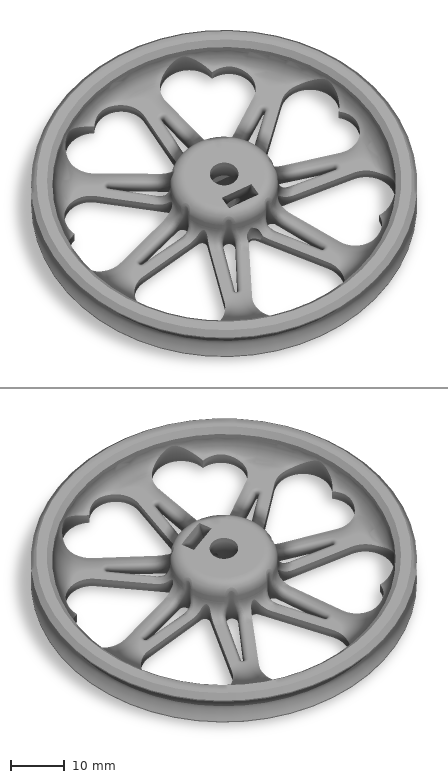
import cadquery as cq
import math

rim_radius = 36.0
rim_height = 8.0
rim_chamfer = 1.0
rim_inner_diameter = 64.0
rim_inner_radius = rim_inner_diameter / 2
groove_radius = 34.0
groove_floor_width = 1.4
groove_depth = rim_radius - groove_radius

web_bottom_z = rim_chamfer
web_thickness = 2.0
web_top_z = web_bottom_z + web_thickness
web_fillet = 3.0
hub_radius = 10.0
hub_top_z = 10.0
hub_top_fillet = 2.5

spoke_count = 7
spoke_pitch = 360.0 / spoke_count

heart_tip = (11.15, -0.1, 1.0)
heart_large_lobe = (26.1, 4.5, 5.5)
heart_small_lobe = (25.1, -2.8, 5.0)

slot_inner_end = (9.65, 4.75, 1.15)
slot_outer_end = (19.3, 9.9, 0.2)
slot_edge_fillet = 1.0
slot_axis_angle = math.degrees(
    math.atan2(slot_outer_end[1] - slot_inner_end[1], slot_outer_end[0] - slot_inner_end[0])
)

bore_diameter = 5.3
bore_floor_z = web_top_z
bore_flat_offset = 1.65
bore_flat_top_z = web_top_z + web_fillet

nut_slot_tilt = 14.0
nut_slot_thickness = 2.7
nut_slot_width = 6.4
nut_slot_depth = 8.8
nut_slot_bevel = 1.9
nut_slot_outer_x = 7.35
screw_diameter = 3.2
screw_depth = nut_slot_depth - nut_slot_width / 2
screw_inner_reach = 4.3
screw_outer_reach = 7.2


def tangent_points(first, second, side):
    """Ends of the outer tangent of two circles; side is +1 left, -1 right of first-to-second."""
    dx = second[0] - first[0]
    dy = second[1] - first[1]
    spread = math.acos((first[2] - second[2]) / math.hypot(dx, dy))
    normal = math.atan2(dy, dx) + side * spread
    return [(x + r * math.cos(normal), y + r * math.sin(normal)) for x, y, r in (first, second)]


def point_on_circle(circle, angle):
    """Point of a circle (x, y, radius) at an angle in degrees."""
    x, y, r = circle
    return (x + r * math.cos(math.radians(angle)), y + r * math.sin(math.radians(angle)))


def outer_crossing(first, second):
    """Crossing of two circles that lies to the right of first-to-second."""
    dx = second[0] - first[0]
    dy = second[1] - first[1]
    gap = math.hypot(dx, dy)
    along = (gap**2 + first[2]**2 - second[2]**2) / (2 * gap)
    across = math.sqrt(first[2]**2 - along**2)
    return (first[0] + (along * dx + across * dy) / gap, first[1] + (along * dy - across * dx) / gap)


def around_axis(body):
    """Copies of a body at every spoke pitch about the Z axis."""
    copies = cq.Workplane("XY")
    for i in range(spoke_count):
        copies = copies.add(body.rotate((0, 0, 0), (0, 0, 1), i * spoke_pitch))
    return copies


def wheel_blank():
    """Hub, web and grooved rim turned in one revolve."""
    middle_z = rim_height / 2
    floor_half = groove_floor_width / 2
    lip_half = floor_half + groove_depth
    diagonal = math.sqrt(0.5)
    top_arc = (hub_radius - hub_top_fillet, hub_top_z - hub_top_fillet)
    hub_arc = (hub_radius + web_fillet, web_top_z + web_fillet)
    rim_arc = (rim_inner_radius - web_fillet, web_top_z + web_fillet)
    profile = (
        cq.Workplane("XZ")
        .moveTo(0, web_bottom_z)
        .lineTo(rim_inner_radius, web_bottom_z)
        .lineTo(rim_inner_radius + rim_chamfer, 0)
        .lineTo(rim_radius - rim_chamfer, 0)
        .lineTo(rim_radius, rim_chamfer)
        .lineTo(rim_radius, middle_z - lip_half)
        .lineTo(groove_radius, middle_z - floor_half)
        .lineTo(groove_radius, middle_z + floor_half)
        .lineTo(rim_radius, middle_z + lip_half)
        .lineTo(rim_radius, rim_height - rim_chamfer)
        .lineTo(rim_radius - rim_chamfer, rim_height)
        .lineTo(rim_inner_radius + rim_chamfer, rim_height)
        .lineTo(rim_inner_radius, rim_height - rim_chamfer)
        .lineTo(rim_inner_radius, rim_arc[1])
        .threePointArc(
            (rim_arc[0] + web_fillet * diagonal, rim_arc[1] - web_fillet * diagonal),
            (rim_arc[0], web_top_z),
        )
        .lineTo(hub_arc[0], web_top_z)
        .threePointArc(
            (hub_arc[0] - web_fillet * diagonal, hub_arc[1] - web_fillet * diagonal),
            (hub_radius, hub_arc[1]),
        )
        .lineTo(hub_radius, top_arc[1])
        .threePointArc(
            (top_arc[0] + hub_top_fillet * diagonal, top_arc[1] + hub_top_fillet * diagonal),
            (top_arc[0], hub_top_z),
        )
        .lineTo(0, hub_top_z)
        .close()
    )
    return profile.revolve(360, (0, 0, 0), (0, 1, 0))


def heart_cutter():
    """Heart-shaped prism pointing at the axis, with one lobe larger than the other."""
    upper_tip, upper_lobe = tangent_points(heart_tip, heart_large_lobe, 1)
    lower_tip, lower_lobe = tangent_points(heart_tip, heart_small_lobe, -1)
    cusp = outer_crossing(heart_small_lobe, heart_large_lobe)
    return (
        cq.Workplane("XY")
        .moveTo(*upper_tip)
        .lineTo(*upper_lobe)
        .threePointArc(point_on_circle(heart_large_lobe, 0), cusp)
        .threePointArc(point_on_circle(heart_small_lobe, 0), lower_lobe)
        .lineTo(*lower_tip)
        .threePointArc(point_on_circle(heart_tip, 180), upper_tip)
        .close()
        .extrude(hub_top_z)
    )


def slot_cutter():
    """Tapered prism between two rounded ends, cutting a little into the hub side."""
    left_inner, left_outer = tangent_points(slot_inner_end, slot_outer_end, 1)
    right_inner, right_outer = tangent_points(slot_inner_end, slot_outer_end, -1)
    return (
        cq.Workplane("XY")
        .moveTo(*left_inner)
        .lineTo(*left_outer)
        .threePointArc(point_on_circle(slot_outer_end, slot_axis_angle), right_outer)
        .lineTo(*right_inner)
        .threePointArc(point_on_circle(slot_inner_end, slot_axis_angle + 180), left_inner)
        .close()
        .extrude(hub_top_z)
    )


def nut_slot_cutter():
    """Tilted slot open at the hub top, with a screw hole from the hub side to the bore."""
    half_opening = nut_slot_thickness / math.cos(math.radians(nut_slot_tilt)) / 2
    slot = (
        cq.Workplane("XY")
        .box(nut_slot_thickness, nut_slot_width, 2 * nut_slot_depth)
        .faces("<Z")
        .edges("|X")
        .chamfer(nut_slot_bevel)
    )
    screw = (
        cq.Workplane("YZ", origin=(-screw_inner_reach, 0, -screw_depth))
        .circle(screw_diameter / 2)
        .extrude(screw_inner_reach + screw_outer_reach)
    )
    return (
        slot.union(screw)
        .rotate((0, 0, 0), (0, 1, 0), nut_slot_tilt)
        .translate((nut_slot_outer_x - half_opening, 0, hub_top_z))
    )


def bore_cutter():
    """Blind round bore whose lower part has a flat on the -X side."""
    radius = bore_diameter / 2
    round_bore = cq.Workplane("XY", origin=(0, 0, bore_floor_z)).circle(radius).extrude(hub_top_z)
    flat_height = bore_flat_top_z - bore_floor_z
    flat = (
        cq.Workplane("XY", origin=(-bore_flat_offset - radius, 0, bore_floor_z))
        .rect(bore_diameter, bore_diameter)
        .extrude(flat_height)
    )
    return round_bore.cut(flat)


wheel = wheel_blank().cut(around_axis(slot_cutter()))

slot_end = cq.Workplane("XY").add(
    cq.Vertex.makeVertex(*point_on_circle(slot_outer_end, slot_axis_angle), web_top_z)
)
for end in around_axis(slot_end).vals():
    wheel = wheel.edges(cq.NearestToPointSelector(end.toTuple())).fillet(slot_edge_fillet)

wheel = wheel.cut(around_axis(heart_cutter()))
wheel = wheel.cut(bore_cutter())
result = wheel.cut(nut_slot_cutter())